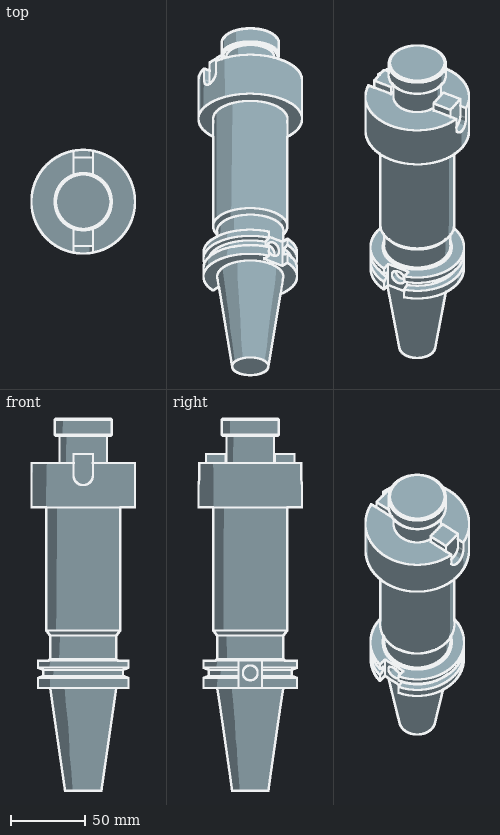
import cadquery as cq

TOTAL_HEIGHT = 250.8
HEAD_BOTTOM_Z = 239.0
KEY_TOP_Z = 227.0
COLLAR_TOP_Z = 221.0
COLLAR_BOTTOM_Z = 190.9
BODY_BOTTOM_Z = 108.0
NECK_TOP_Z = 104.5
FLANGE_TOP_Z = 87.8
FLANGE_BOTTOM_Z = 69.2
GROOVE_Z = 79.5

HEAD_RADIUS = 19.3
SPIGOT_RADIUS = 16.0
COLLAR_RADIUS = 34.99
BODY_RADIUS = 25.0
NECK_RADIUS = 22.3
FLANGE_RADIUS = 31.5
GROOVE_RADIUS = 28.0
TAPER_LARGE_RADIUS = 22.3
TAPER_SMALL_RADIUS = 12.3

HEAD_CHAMFER = 1.0
NECK_FLARE = 1.0

GROOVE_FLOOR_WIDTH = 4.0
GROOVE_MOUTH_WIDTH = 7.0

DRIVE_SLOT_WIDTH = 15.8
DRIVE_SLOT_FLOOR = 25.0
DIMPLE_RADIUS = 5.0
DIMPLE_DEPTH = 5.0
DIMPLE_Z = 79.5

KEY_WIDTH = 13.0
KEY_INNER_Y = 16.5
KEY_OUTER_Y = 29.8
KEY_BOTTOM_Z = 206.0

SIDES = (0, 180)


def turned_arbor():
    """Taper, grooved flange, neck, body, collar and spigot as one revolved solid."""
    half_floor = GROOVE_FLOOR_WIDTH / 2
    half_mouth = GROOVE_MOUTH_WIDTH / 2
    profile = [
        (0, 0),
        (TAPER_SMALL_RADIUS, 0),
        (TAPER_LARGE_RADIUS, FLANGE_BOTTOM_Z),
        (FLANGE_RADIUS, FLANGE_BOTTOM_Z),
        (FLANGE_RADIUS, GROOVE_Z - half_mouth),
        (GROOVE_RADIUS, GROOVE_Z - half_floor),
        (GROOVE_RADIUS, GROOVE_Z + half_floor),
        (FLANGE_RADIUS, GROOVE_Z + half_mouth),
        (FLANGE_RADIUS, FLANGE_TOP_Z),
        (NECK_RADIUS + NECK_FLARE, FLANGE_TOP_Z),
        (NECK_RADIUS, FLANGE_TOP_Z + NECK_FLARE),
        (NECK_RADIUS, NECK_TOP_Z),
        (BODY_RADIUS, BODY_BOTTOM_Z),
        (BODY_RADIUS, COLLAR_BOTTOM_Z),
        (COLLAR_RADIUS, COLLAR_BOTTOM_Z),
        (COLLAR_RADIUS, COLLAR_TOP_Z),
        (SPIGOT_RADIUS, COLLAR_TOP_Z),
        (SPIGOT_RADIUS, HEAD_BOTTOM_Z),
        (0, HEAD_BOTTOM_Z),
    ]
    return cq.Workplane("XZ").polyline(profile).close().revolve(360, (0, 0), (0, 1))


def drive_slot(angle):
    """Flat-floored slot across the flange with a round blind hole in its floor."""
    slot = cq.Workplane("XY").box(
        FLANGE_RADIUS, DRIVE_SLOT_WIDTH, FLANGE_TOP_Z - FLANGE_BOTTOM_Z, centered=(False, True, False)
    ).translate((DRIVE_SLOT_FLOOR, 0, FLANGE_BOTTOM_Z))
    dimple = (
        cq.Workplane("YZ", origin=(DRIVE_SLOT_FLOOR - DIMPLE_DEPTH, 0, DIMPLE_Z))
        .circle(DIMPLE_RADIUS)
        .extrude(DIMPLE_DEPTH)
    )
    return slot.union(dimple).rotate((0, 0, 0), (0, 0, 1), angle)


def key_prism(outer_y, angle):
    """Round-bottomed bar running along -Y from the key's inner end, turned about Z."""
    half_width = KEY_WIDTH / 2
    arc_center_z = KEY_BOTTOM_Z + half_width
    return (
        cq.Workplane("XZ", origin=(0, -KEY_INNER_Y, 0))
        .moveTo(-half_width, KEY_TOP_Z)
        .lineTo(-half_width, arc_center_z)
        .threePointArc((0, KEY_BOTTOM_Z), (half_width, arc_center_z))
        .lineTo(half_width, KEY_TOP_Z)
        .close()
        .extrude(outer_y - KEY_INNER_Y)
        .rotate((0, 0, 0), (0, 0, 1), angle)
    )


def make_arbor():
    arbor = turned_arbor()
    for angle in SIDES:
        arbor = arbor.cut(drive_slot(angle))
        arbor = arbor.cut(key_prism(COLLAR_RADIUS, angle))
    return arbor


def make_clamp_head():
    """Round head seated on the end of the spigot."""
    return (
        cq.Workplane("XY", origin=(0, 0, HEAD_BOTTOM_Z))
        .circle(HEAD_RADIUS)
        .extrude(TOTAL_HEIGHT - HEAD_BOTTOM_Z)
        .edges()
        .chamfer(HEAD_CHAMFER)
    )


arbor = make_arbor()
clamp_head = make_clamp_head()
drive_keys = [key_prism(KEY_OUTER_Y, angle).val() for angle in SIDES]

result = cq.Compound.makeCompound([arbor.val(), clamp_head.val(), *drive_keys])